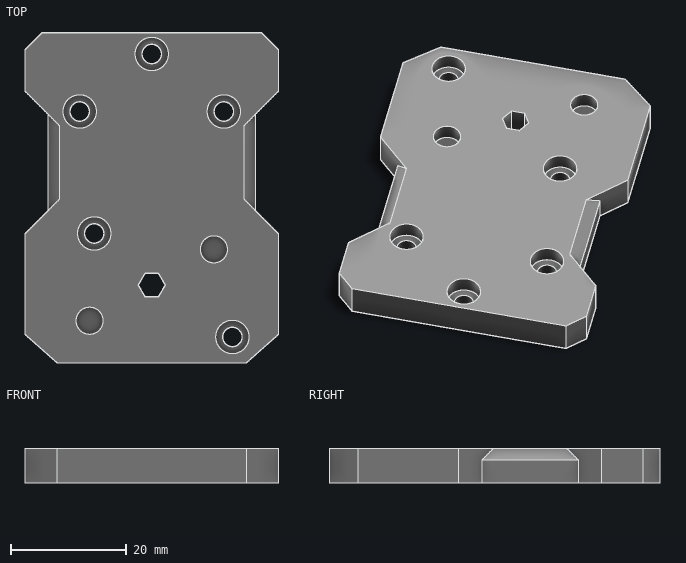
import cadquery as cq

length = 57.3
width = 44.0
thickness = 6.0
half_length = length / 2
half_width = width / 2

back_corner = 3.0
front_corner_x = 5.6
front_corner_y = 5.0

recess_depth = 4.0
recess_back_y = 18.5
recess_front_y = -6.25
recess_bevel = 2.0
waist_x = half_width - recess_depth

screw_diameter = 3.3
head_diameter = 5.8
head_depth = 3.0
screw_pair_x = 12.5
screw_pair_y = 14.95
screw_positions = [
    (0, 24.9),
    (-screw_pair_x, screw_pair_y),
    (screw_pair_x, screw_pair_y),
    (-9.95, -6.2),
    (14.0, -24.1),
]

hex_y = -15.1
hex_across_corners = 4.65
pin_diameter = 4.7
pin_depth = 3.0
pin_offset_x = 10.8
pin_offset_y = 6.2


def make_plate():
    """Extrude the outline, upward from Z = 0."""
    right_side = [
        (half_width - front_corner_x, -half_length),
        (half_width, -half_length + front_corner_y),
        (half_width, recess_front_y),
        (waist_x, recess_front_y + recess_depth),
        (waist_x, recess_back_y - recess_depth),
        (half_width, recess_back_y),
        (half_width, half_length - back_corner),
        (half_width - back_corner, half_length),
    ]
    left_side = [(-x, y) for x, y in reversed(right_side)]
    return cq.Workplane("XY").polyline(right_side + left_side).close().extrude(thickness)


def make_recess_bevel(side):
    """Wedge above one recess floor, its ends in line with the recess ends."""
    inner_x = waist_x - recess_bevel
    end_slant = recess_depth + recess_bevel
    recess = (
        cq.Workplane("XY")
        .polyline([
            (side * half_width, recess_front_y),
            (side * inner_x, recess_front_y + end_slant),
            (side * inner_x, recess_back_y - end_slant),
            (side * half_width, recess_back_y),
        ])
        .close()
        .extrude(thickness)
    )
    bevel = (
        cq.Workplane("XZ")
        .polyline([
            (side * inner_x, thickness),
            (side * waist_x, thickness),
            (side * waist_x, thickness - recess_bevel),
        ])
        .close()
        .extrude(half_length, both=True)
    )
    return recess.intersect(bevel)


result = make_plate()
for side in (-1, 1):
    result = result.cut(make_recess_bevel(side))

top_plane = cq.Workplane("XY").workplane(offset=thickness)

result = result.cut(top_plane.pushPoints(screw_positions).circle(screw_diameter / 2).extrude(-thickness))
result = result.cut(top_plane.pushPoints(screw_positions).circle(head_diameter / 2).extrude(-head_depth))

pin_positions = [
    (side * pin_offset_x, hex_y + side * pin_offset_y)
    for side in (-1, 1)
]
result = result.cut(top_plane.pushPoints(pin_positions).circle(pin_diameter / 2).extrude(-pin_depth))

result = result.cut(top_plane.center(0, hex_y).polygon(6, hex_across_corners).extrude(-thickness))